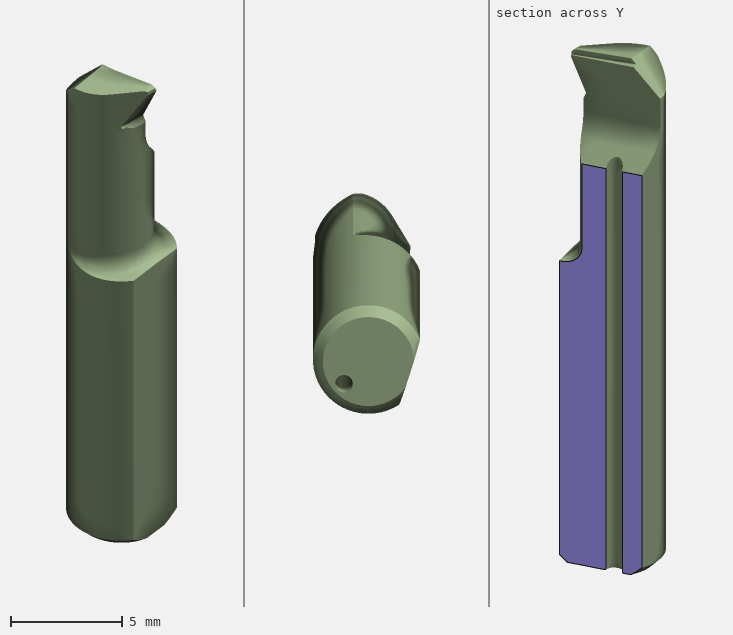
import cadquery as cq
import math

length = 25.0
shank_radius = 2.5
flat_x = 1.95
end_chamfer = 0.45

neck_center_x = -0.85
neck_radius = 2.15
shoulder_z = 15.0
shoulder_fillet = 0.8

rake_y = 0.1
runout_end_y = neck_radius
runout_end_z = 19.08
runout_angle = math.radians(41)
runout_radius = 1.6

nose_x = 1.92
nose_bottom_z = 22.85
relief_start_x = 0.68
relief_start_y = -1.52
relief_end_y = -0.38
corner_land = 0.3
corner_bevel_width = 0.18
corner_bevel_drop = 0.12
flank_root_x = 1.15
flank_root_z = 22.98
flank_exit_z = 22.68

top_chamfer = 1.6
top_clearance = cq.Vector(-0.1, -neck_radius, -0.22)
flank_clearance = cq.Vector(-0.15, -1, 0)

groove_floor_z = 24.72
groove_left_y = -0.22
groove_right_y = 0.02

coolant_diameter = 0.8
coolant_x = -0.75
coolant_y = 1.3

margin = 2.5


def slanted_cutter(points, direction):
    """Extrude an XZ outline both ways from the XZ plane along an oblique direction."""
    reach = direction.normalized() * (2 * shank_radius)
    corners = [cq.Vector(x, 0, z) - reach for x, z in points]
    outline = cq.Wire.makePolygon(corners, close=True)
    return cq.Workplane(obj=cq.Solid.extrudeLinear(outline, [], reach * 2))


def make_shank():
    bar = cq.Workplane().circle(shank_radius).extrude(length)
    bar = bar.faces("<Z").chamfer(end_chamfer)
    flat = cq.Workplane().box(margin, 3 * shank_radius, 3 * length).translate((flat_x + margin / 2, 0, 0))
    return bar.cut(flat)


def make_neck_sleeve():
    """Ring of material removed around the neck, with a concave fillet at the shoulder."""
    fillet_top = shoulder_z + shoulder_fillet
    middle = shoulder_fillet * (1 - math.sqrt(0.5))
    outer = 3 * shank_radius
    sleeve = (
        cq.Workplane("XZ")
        .moveTo(neck_radius + shoulder_fillet, shoulder_z)
        .threePointArc((neck_radius + middle, shoulder_z + middle), (neck_radius, fillet_top))
        .lineTo(neck_radius, length + margin)
        .lineTo(outer, length + margin)
        .lineTo(outer, shoulder_z)
        .close()
        .revolve(360, (0, 0, 0), (0, 1, 0))
    )
    return sleeve.translate((neck_center_x, 0, 0))


def make_nose():
    outline = [
        (neck_center_x, rake_y),
        (nose_x, rake_y),
        (nose_x, relief_end_y),
        (relief_start_x, relief_start_y),
        (neck_center_x, relief_start_y),
    ]
    nose = cq.Workplane().workplane(offset=nose_bottom_z).polyline(outline).close()
    return nose.extrude(length - nose_bottom_z)


def make_rake_cutter():
    """Half of the neck removed behind the rake face, down to the sloping run-out."""
    curve_y = rake_y + runout_radius * (1 - math.cos(runout_angle))
    curve_z = runout_end_z + (runout_end_y - curve_y) / math.tan(runout_angle)
    curve_top_z = curve_z + runout_radius * math.sin(runout_angle)
    middle_y = rake_y + runout_radius * (1 - math.cos(runout_angle / 2))
    middle_z = curve_top_z - runout_radius * math.sin(runout_angle / 2)
    far_y = runout_end_y + margin
    far_z = runout_end_z - margin / math.tan(runout_angle)
    return (
        cq.Workplane("YZ")
        .moveTo(rake_y, length + margin)
        .lineTo(rake_y, curve_top_z)
        .threePointArc((middle_y, middle_z), (curve_y, curve_z))
        .lineTo(far_y, far_z)
        .lineTo(far_y, length + margin)
        .close()
        .extrude(2 * shank_radius, both=True)
    )


def make_top_cutter():
    """Everything above the sloping top face and the 45 degree chamfer at its left end."""
    low_x = -shank_radius - margin
    outline = [
        (low_x, length - top_chamfer - margin),
        (-shank_radius + top_chamfer, length),
        (shank_radius + margin, length),
        (shank_radius + margin, length + margin),
        (low_x, length + margin),
    ]
    return slanted_cutter(outline, top_clearance)


def make_flank_cutter():
    """Everything outside the cutting corner: its bevel, land and slanted flank."""
    neck_right_x = neck_center_x + neck_radius
    outline = [
        (nose_x - corner_bevel_width, length + margin),
        (nose_x - corner_bevel_width, length),
        (nose_x, length - corner_bevel_drop),
        (nose_x, length - corner_land),
        (flank_root_x, flank_root_z),
        (neck_right_x, flank_exit_z),
        (nose_x + margin, flank_exit_z),
        (nose_x + margin, length + margin),
    ]
    return slanted_cutter(outline, flank_clearance)


def make_chip_groove():
    """Wedge-shaped step between the rake face and the top face."""
    outline = [
        (-shank_radius + top_chamfer, groove_left_y),
        (nose_x, groove_right_y),
        (nose_x, margin),
        (-shank_radius, margin),
        (-shank_radius, groove_left_y),
    ]
    groove = cq.Workplane().workplane(offset=groove_floor_z).polyline(outline).close()
    return groove.extrude(margin)


def make_coolant_hole():
    hole = cq.Workplane().center(coolant_x, coolant_y).circle(coolant_diameter / 2)
    return hole.extrude(length)


result = (
    make_shank()
    .cut(make_neck_sleeve())
    .union(make_nose())
    .cut(make_rake_cutter())
    .cut(make_flank_cutter())
    .cut(make_top_cutter())
    .cut(make_chip_groove())
    .cut(make_coolant_hole())
)